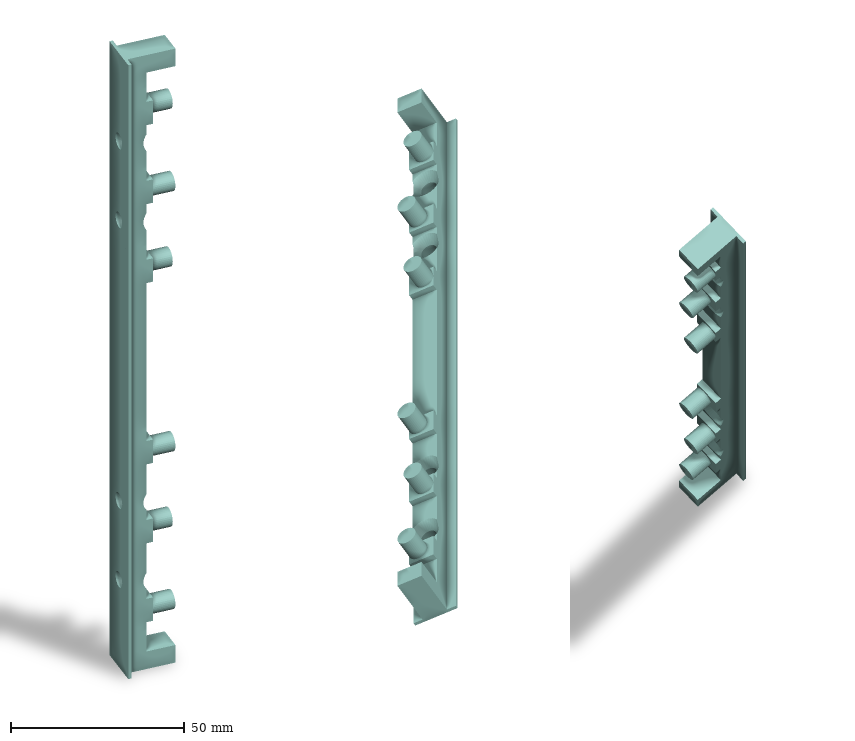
import cadquery as cq
import math

rail_length = 210.0
flange_width = 14.0
flange_thickness = 1.0
web_width = 8.0
web_top = 7.0

full_depth = 16.0
end_block_length = 6.0

facet_count = 36

screw_positions = (48.0, 75.0)
screw_hole_diameter = 5.0
countersink_diameter = 10.0
countersink_angle = 90.0

inner_pin_position = 31.0
pin_pitch = 27.0
pins_per_half = 3
pin_diameter = 6.0
pin_stagger = (web_width - pin_diameter) / 2
seat_length = 8.0
seat_top = 9.0


def bar(width, bottom, top, length, z=0.0):
    """Box centred on X = 0 and on z, spanning bottom to top along Y."""
    center = (0, (bottom + top) / 2, z)
    return cq.Workplane("XY").box(width, top - bottom, length).translate(center)


def along_y(x, y, z):
    """Workplane at (x, y, z) that extrudes toward +Y."""
    return cq.Workplane(cq.Plane(origin=(x, y, z), xDir=(1, 0, 0), normal=(0, 1, 0)))


def make_rail():
    """Flange, web and the two end blocks."""
    flange = bar(flange_width, 0, flange_thickness, rail_length)
    web = bar(web_width, 0, web_top, rail_length)
    rail = flange.union(web)
    end_block_center = (rail_length - end_block_length) / 2
    for z in (-end_block_center, end_block_center):
        rail = rail.union(bar(web_width, 0, full_depth, end_block_length, z))
    return rail


def pin_heights():
    """Z of every pin, from the top of the rail to the bottom."""
    upper = [inner_pin_position + pin_pitch * index for index in range(pins_per_half)]
    lower = [-z for z in upper]
    return sorted(upper + lower, reverse=True)


def make_seated_pin(x, z):
    """Seat across the web with a pin on it reaching the full depth."""
    seat = bar(web_width, 0, seat_top, seat_length, z)
    pin = along_y(x, seat_top, z).polygon(facet_count, pin_diameter).extrude(full_depth - seat_top)
    return seat.union(pin)


def make_screw_cutter(z):
    """Through hole with a countersink opening on the web's +Y face."""
    hole = along_y(0, 0, z).polygon(facet_count, screw_hole_diameter).extrude(web_top)
    rim_width = (countersink_diameter - screw_hole_diameter) / 2
    countersink_depth = rim_width / math.tan(math.radians(countersink_angle / 2))
    countersink = (
        along_y(0, web_top - countersink_depth, z)
        .polygon(facet_count, screw_hole_diameter)
        .workplane(offset=countersink_depth)
        .polygon(facet_count, countersink_diameter)
        .loft(ruled=True)
    )
    return hole.union(countersink)


result = make_rail()

side = -1
for pin_z in pin_heights():
    result = result.union(make_seated_pin(side * pin_stagger, pin_z))
    side = -side

for position in screw_positions:
    for screw_z in (-position, position):
        result = result.cut(make_screw_cutter(screw_z))